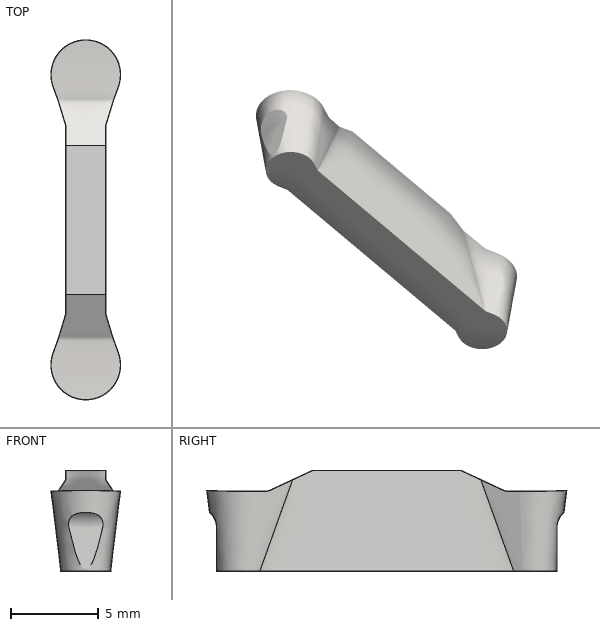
import cadquery as cq
import math


OVERALL_LENGTH = 20.65
HEIGHT = 5.78
BODY_WIDTH = 2.3
CREST_HALF_LENGTH = 4.27

NOSE_RADIUS = 2.0
CLEARANCE_ANGLE = 7.0
NECK_ANGLE = 20.0

LAND_HEIGHT = 4.6
LAND_INSET = 1.25
DIP_DEPTH = 0.005
TIP_RISE = 0.045
RAMP_ANGLE = 25.0
RAMP_FILLET = 0.5

RELIEF_DEPTH = 1.45
RELIEF_FLAT_HEIGHT = 2.53
RELIEF_ARC_RADIUS = 1.1
RELIEF_ARC_ANGLE = 60.0

OUTSIDE = 1.0

draft = math.tan(math.radians(CLEARANCE_ANGLE))
DIP_HEIGHT = LAND_HEIGHT - DIP_DEPTH
BASE_RADIUS = NOSE_RADIUS - DIP_HEIGHT * draft
TIP_RADIUS = NOSE_RADIUS + TIP_RISE * draft
NOSE_Y = OVERALL_LENGTH / 2 - TIP_RADIUS


def slab():
    """Central slab, reaching into both noses as far as their axes."""
    return cq.Workplane("XY").box(BODY_WIDTH, 2 * NOSE_Y, HEIGHT, centered=(True, True, False))


def nose():
    """Drafted teardrop at the +Y end: a round nose with two flanks tangent to it."""
    neck = math.radians(NECK_ANGLE)
    tangent_x = BASE_RADIUS * math.cos(neck)
    tangent_y = NOSE_Y - BASE_RADIUS * math.sin(neck)
    apex_y = NOSE_Y - BASE_RADIUS / math.sin(neck)
    return (
        cq.Workplane("XY")
        .moveTo(0, apex_y)
        .lineTo(tangent_x, tangent_y)
        .threePointArc((0, NOSE_Y + BASE_RADIUS), (-tangent_x, tangent_y))
        .close()
        .extrude(HEIGHT, taper=-CLEARANCE_ANGLE)
    )


def side_profile():
    """Half of the side outline (Y >= 0), extruded across the width to trim the +Y half."""
    ramp = math.radians(RAMP_ANGLE)
    ramp_corner_y = CREST_HALF_LENGTH + (HEIGHT - LAND_HEIGHT) / math.tan(ramp)
    fillet_setback = RAMP_FILLET * math.tan(ramp / 2)
    fillet_top = (
        ramp_corner_y - fillet_setback * math.cos(ramp),
        LAND_HEIGHT + fillet_setback * math.sin(ramp),
    )
    fillet_middle = (
        ramp_corner_y + fillet_setback - RAMP_FILLET * math.sin(ramp / 2),
        LAND_HEIGHT + RAMP_FILLET * (1 - math.cos(ramp / 2)),
    )
    fillet_foot = (ramp_corner_y + fillet_setback, LAND_HEIGHT)

    land_end = (NOSE_Y - LAND_INSET, LAND_HEIGHT)
    dip_middle = (NOSE_Y - LAND_INSET / 2, LAND_HEIGHT - DIP_DEPTH / 4)
    dip_end = (NOSE_Y, DIP_HEIGHT)
    curl_middle = (NOSE_Y + TIP_RADIUS / 2, DIP_HEIGHT + TIP_RISE / 4)
    curl_end = (NOSE_Y + TIP_RADIUS, DIP_HEIGHT + TIP_RISE)
    outer_y = OVERALL_LENGTH / 2 + OUTSIDE

    def relief_point(angle):
        turn = math.radians(angle)
        return (
            NOSE_Y + RELIEF_DEPTH + RELIEF_ARC_RADIUS * (1 - math.cos(turn)),
            RELIEF_FLAT_HEIGHT + RELIEF_ARC_RADIUS * math.sin(turn),
        )

    relief_end = relief_point(RELIEF_ARC_ANGLE)
    return (
        cq.Workplane("YZ")
        .moveTo(0, 0)
        .lineTo(0, HEIGHT)
        .lineTo(CREST_HALF_LENGTH, HEIGHT)
        .lineTo(*fillet_top)
        .threePointArc(fillet_middle, fillet_foot)
        .lineTo(*land_end)
        .threePointArc(dip_middle, dip_end)
        .threePointArc(curl_middle, curl_end)
        .lineTo(outer_y, curl_end[1])
        .lineTo(outer_y, relief_end[1])
        .lineTo(*relief_end)
        .threePointArc(relief_point(RELIEF_ARC_ANGLE / 2), relief_point(0))
        .lineTo(NOSE_Y + RELIEF_DEPTH, 0)
        .close()
        .extrude(NOSE_RADIUS + OUTSIDE, both=True)
    )


blank = slab().union(nose()).union(nose().mirror("XZ"))
trim = side_profile()
result = blank.intersect(trim.union(trim.mirror("XZ")))